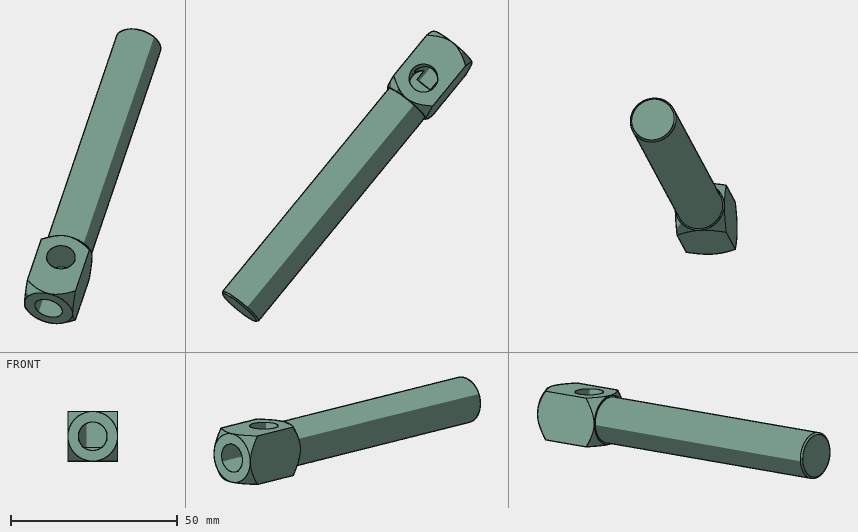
import cadquery as cq
import math

total_length = 102.0

block_width = 15.0
block_length = 22.0
end_face_diameter = 14.9
corner_angle = 45.0
half_width = block_width / 2
end_face_radius = end_face_diameter / 2
envelope_radius = block_width
cone_length = (envelope_radius - end_face_radius) * math.tan(math.radians(corner_angle))

hole_diameter = 8.6
top_hole_position = 14.0
bore_depth = 13.9
top_hole_depth = 10.9

rod_diameter = 14.0
rod_length = total_length - block_length
rod_chamfer = 0.5


def cylinder_along_y(diameter, start, length):
    """Solid cylinder on the Y axis, running from Y = start toward +Y."""
    return (
        cq.Workplane("XZ", origin=(0, start, 0))
        .circle(diameter / 2)
        .extrude(-length)
    )


def make_corner_envelope():
    """Turned shape, coned at both ends, that trims the block's corners."""
    profile = [
        (0, 0),
        (end_face_radius, 0),
        (envelope_radius, cone_length),
        (envelope_radius, block_length - cone_length),
        (end_face_radius, block_length),
        (0, block_length),
    ]
    return cq.Workplane("XY").polyline(profile).close().revolve(360, (0, 0, 0), (0, 1, 0))


def make_block():
    """Square block with turned ends and an L-shaped passage."""
    blank = cq.Workplane("XY").box(
        block_width, block_length, block_width, centered=(True, False, True)
    )
    front_bore = cylinder_along_y(hole_diameter, 0, bore_depth)
    top_hole = (
        cq.Workplane("XY", origin=(0, top_hole_position, half_width))
        .circle(hole_diameter / 2)
        .extrude(-top_hole_depth)
    )
    return blank.intersect(make_corner_envelope()).cut(front_bore).cut(top_hole)


def make_rod():
    """Plain round rod butted against the block, chamfered at its free end."""
    rod = cylinder_along_y(rod_diameter, block_length, rod_length)
    return rod.faces(">Y").edges().chamfer(rod_chamfer)


block = make_block()
rod = make_rod()

result = cq.Compound.makeCompound([block.solids().val(), rod.solids().val()])